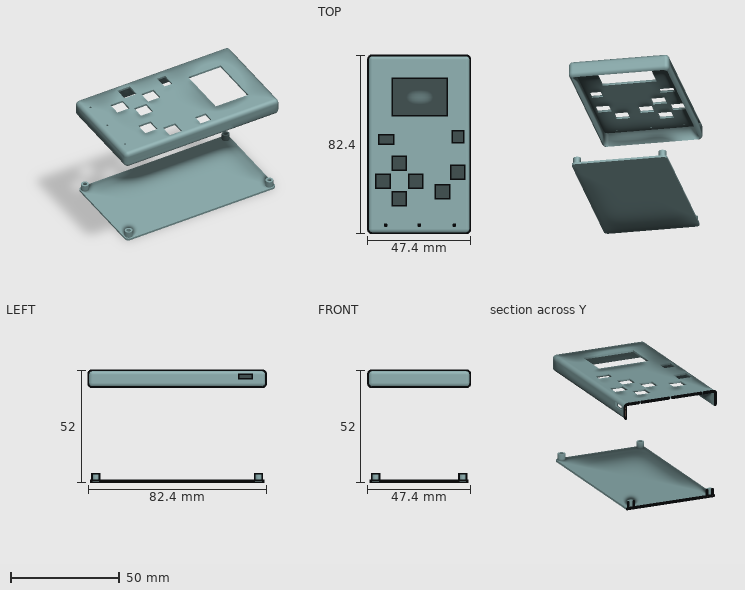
import cadquery as cq

LENGTH = 82.4
WIDTH = 47.4
HOUSING_HEIGHT = 8.0
EDGE_RADIUS = 2.0
FACE_THICKNESS = 1.0
WALL_THICKNESS = 1.15

TOTAL_HEIGHT = 52.0
COVER_THICKNESS = 1.0
POST_DIAMETER = 3.6
POST_HEIGHT = 3.05
POST_INSET = 2.4
SCREW_HOLE_DIAMETER = 2.0

COVER_WIDTH = WIDTH - 2 * WALL_THICKNESS
COVER_LENGTH = LENGTH - 2 * WALL_THICKNESS

SCREEN_WINDOW = (0.25, 21.8, 25.55, 17.4)
SWITCH_WINDOW = (-15.25, 2.2, 6.75, 4.2)
SENSOR_WINDOW = (17.9, 3.55, 5.35, 5.7)

BUTTON_SIZE = 6.5
CROSS_X = -9.15
CROSS_Y = -17.05
CROSS_REACH_X = 7.6
CROSS_REACH_Y = 8.2
BUTTON_CENTRES = [
    (CROSS_X, CROSS_Y + CROSS_REACH_Y),
    (CROSS_X, CROSS_Y - CROSS_REACH_Y),
    (CROSS_X - CROSS_REACH_X, CROSS_Y),
    (CROSS_X + CROSS_REACH_X, CROSS_Y),
    (10.8, -21.9),
    (17.8, -12.85),
]

INDICATOR_DIAMETER = 1.0
INDICATOR_Y = -37.4
INDICATOR_XS = [-15.5, 0.1, 16.3]

SLOT_Y = -31.65
SLOT_LENGTH = 6.2
SLOT_HEIGHT = 2.0
SLOT_TOP = TOTAL_HEIGHT - EDGE_RADIUS

HOUSING_BOTTOM = TOTAL_HEIGHT - HOUSING_HEIGHT
FACE_UNDERSIDE = TOTAL_HEIGHT - FACE_THICKNESS


def rounded_plate(bottom, height):
    """Upright block with the cover's outline and rounded corners."""
    return (
        cq.Workplane("XY", origin=(0, 0, bottom))
        .rect(COVER_WIDTH, COVER_LENGTH)
        .extrude(height)
        .edges("|Z")
        .fillet(EDGE_RADIUS)
    )


def face_window(x, y, width, length):
    """Cutter for a rectangular window through the front face."""
    return (
        cq.Workplane("XY", origin=(x, y, FACE_UNDERSIDE))
        .rect(width, length)
        .extrude(FACE_THICKNESS)
    )


def make_housing():
    body = (
        cq.Workplane("XY", origin=(0, 0, HOUSING_BOTTOM))
        .rect(WIDTH, LENGTH)
        .extrude(HOUSING_HEIGHT)
        .edges()
        .fillet(EDGE_RADIUS)
    )
    body = body.cut(rounded_plate(HOUSING_BOTTOM, HOUSING_HEIGHT - FACE_THICKNESS))

    for window in (SCREEN_WINDOW, SWITCH_WINDOW, SENSOR_WINDOW):
        body = body.cut(face_window(*window))
    for x, y in BUTTON_CENTRES:
        body = body.cut(face_window(x, y, BUTTON_SIZE, BUTTON_SIZE))

    indicators = (
        cq.Workplane("XY", origin=(0, 0, FACE_UNDERSIDE))
        .pushPoints([(x, INDICATOR_Y) for x in INDICATOR_XS])
        .circle(INDICATOR_DIAMETER / 2)
        .extrude(FACE_THICKNESS)
    )
    slot = (
        cq.Workplane("YZ", origin=(-WIDTH / 2, SLOT_Y, SLOT_TOP - SLOT_HEIGHT / 2))
        .rect(SLOT_LENGTH, SLOT_HEIGHT)
        .extrude(WALL_THICKNESS)
    )
    return body.cut(indicators).cut(slot)


def make_cover():
    post_centres = [
        (side_x * (COVER_WIDTH / 2 - POST_INSET), side_y * (COVER_LENGTH / 2 - POST_INSET))
        for side_x in (-1, 1)
        for side_y in (-1, 1)
    ]
    posts = (
        cq.Workplane("XY", origin=(0, 0, COVER_THICKNESS))
        .pushPoints(post_centres)
        .circle(POST_DIAMETER / 2)
        .circle(SCREW_HOLE_DIAMETER / 2)
        .extrude(POST_HEIGHT)
    )
    return rounded_plate(0, COVER_THICKNESS).union(posts)


housing = make_housing()
cover = make_cover()

result = cq.Compound.makeCompound([housing.val(), cover.val()])